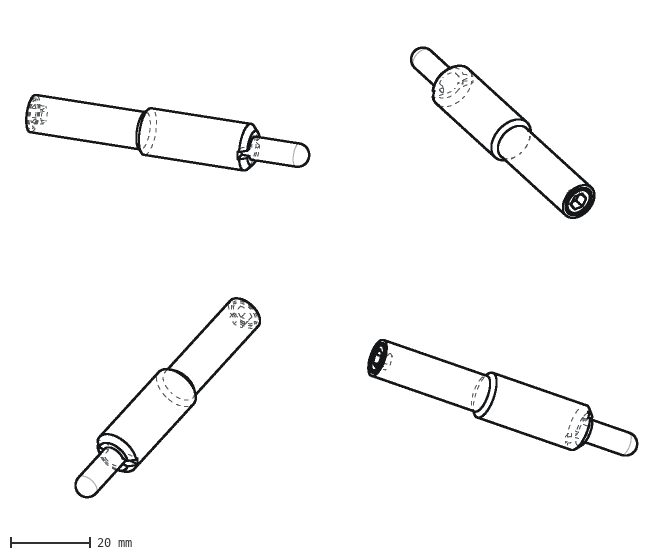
import cadquery as cq
import math

total_length = 75.0
sleeve_length = 30.0
body_length = 30.0
rear_x = -total_length / 2
body_start_x = rear_x + sleeve_length
body_end_x = body_start_x + body_length
tip_x = total_length / 2

sleeve_diameter = 9.6
body_diameter = 12.0
pin_diameter = 6.0
rear_chamfer = (body_diameter - sleeve_diameter) / 2
front_chamfer = 1.6

slot_width = 2.0
slot_depth = 2.0

groove_outer_diameter = 7.95
groove_inner_diameter = 6.7
socket_across_flats = 4.0
socket_depth = 3.0


def rod(start_x, length, diameter):
    """Solid cylinder along +X."""
    return cq.Workplane("YZ", origin=(start_x, 0, 0)).circle(diameter / 2).extrude(length)


def slotted_body():
    """Chamfered body with a straight slot across its front end."""
    body = rod(body_start_x, body_length, body_diameter)
    body = body.faces("<X").edges().chamfer(rear_chamfer)
    body = body.faces(">X").edges().chamfer(front_chamfer)
    slot = cq.Workplane("XY", origin=(body_end_x - slot_depth / 2, 0, 0)).box(
        slot_depth, body_diameter, slot_width
    )
    return body.cut(slot)


def round_nosed_pin():
    """Pin with a hemispherical tip, starting inside the body behind the slot."""
    start_x = body_end_x - body_length / 2
    nose_x = tip_x - pin_diameter / 2
    nose = cq.Workplane("XY", origin=(nose_x, 0, 0)).sphere(pin_diameter / 2)
    return rod(start_x, nose_x - start_x, pin_diameter).union(nose)


def rear_groove():
    """Ring of symmetric 45 degree V section, cut where sleeve and screw chamfers meet."""
    outer_radius = groove_outer_diameter / 2
    inner_radius = groove_inner_diameter / 2
    valley_radius = (outer_radius + inner_radius) / 2
    depth = outer_radius - valley_radius
    section = cq.Workplane("XY").polyline(
        [(rear_x, inner_radius), (rear_x, outer_radius), (rear_x + depth, valley_radius)]
    )
    return section.close().revolve(360, (0, 0, 0), (1, 0, 0))


def hexagon_socket():
    """Hexagonal recess with flats above and below the axis."""
    plane = cq.Workplane("YZ", origin=(rear_x, 0, 0))
    corner_diameter = socket_across_flats / math.cos(math.pi / 6)
    return plane.polygon(6, corner_diameter).extrude(socket_depth)


sleeve = rod(rear_x, sleeve_length + rear_chamfer, sleeve_diameter)

result = (
    sleeve.cut(rear_groove())
    .cut(hexagon_socket())
    .union(slotted_body())
    .union(round_nosed_pin())
)